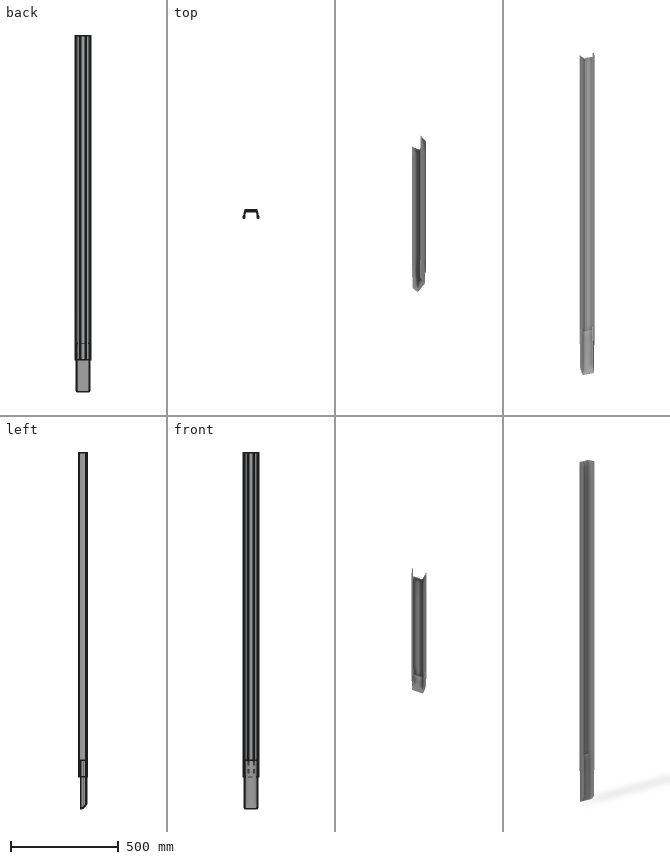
import cadquery as cq
import math

post_length = 1500.0
overall_width = 70.15
overall_depth = 38.75
sheet = 1.2

spike_overlap = 75.0
spike_exposed = 150.0
spike_web_y = 11.1
spike_crease_y = -2.0
spike_set_back = 1.1
nose_rise = 41.0

groove_depth = 1.4
groove_floor_half = 11.5
groove_mouth_half = 15.5

rim_width = 3.2
rim_corner_radius = 0.8
rim_height = 6.4

bend_outer_radius = 1.6
bend_inner_radius = bend_outer_radius - sheet

wall_radius = 250.0
wall_lean_at_rim = math.radians(8.0)

back_y = overall_depth / 2
front_y = -overall_depth / 2
rim_y = front_y + rim_height
spike_front_y = front_y + spike_set_back
contact_x = overall_width / 2 - rim_width
groove_y = back_y - groove_depth
wall_center_x = contact_x - wall_radius * math.cos(wall_lean_at_rim)
wall_center_y = rim_y - wall_radius * math.sin(wall_lean_at_rim)


def wall_point(shift, y):
    """Point at height y on the wall arc shifted along X from the contact face."""
    reach = math.sqrt(wall_radius**2 - (y - wall_center_y) ** 2)
    return (wall_center_x + reach + shift, y)


def follow_wall(outline, shift, y_start, y_end):
    """Continue an outline along a wall arc, from the current point at y_start to y_end."""
    middle = wall_point(shift, (y_start + y_end) / 2)
    return outline.threePointArc(middle, wall_point(shift, y_end))


def make_rim(fold, tip_y, z_start, length):
    """Free edge of a wall folded back on itself, outwards (fold = 1) or inwards (fold = -1)."""
    center_x = contact_x + fold * rim_width / 2
    gap_width = rim_width - 2 * sheet
    gap_floor_y = tip_y + sheet
    folded = (
        cq.Workplane("XY", origin=(center_x, (tip_y + rim_y) / 2, z_start))
        .rect(rim_width, rim_y - tip_y)
        .extrude(length)
        .edges("|Z and <Y")
        .fillet(rim_corner_radius)
    )
    gap = (
        cq.Workplane("XY", origin=(center_x, (gap_floor_y + rim_y) / 2, z_start))
        .rect(gap_width, rim_y - gap_floor_y)
        .extrude(length)
    )
    return folded.cut(gap)


def round_bend(half, outer_corner, inner_corner, z):
    """Round the outer and inner lengthwise edges of the bend between web and wall."""
    for corner, radius in ((outer_corner, bend_outer_radius), (inner_corner, bend_inner_radius)):
        nearest = cq.selectors.NearestToPointSelector((*corner, z))
        half = half.edges("|Z").edges(nearest).fillet(radius)
    return half


def mirrored(half):
    """Join a half channel with its mirror image across the YZ plane."""
    return half.union(half.mirror("YZ")).clean()


def make_post():
    outer_corner = wall_point(sheet, back_y)
    inner_corner = wall_point(0, back_y - sheet)
    outline = (
        cq.Workplane("XY")
        .moveTo(0, groove_y)
        .lineTo(groove_floor_half, groove_y)
        .lineTo(groove_mouth_half, back_y)
        .lineTo(*outer_corner)
    )
    outline = follow_wall(outline, sheet, back_y, rim_y)
    outline = outline.lineTo(contact_x, rim_y)
    outline = follow_wall(outline, 0, rim_y, back_y - sheet)
    half = (
        outline.lineTo(groove_mouth_half, back_y - sheet)
        .lineTo(groove_floor_half, groove_y - sheet)
        .lineTo(0, groove_y - sheet)
        .close()
        .extrude(post_length)
    )
    half = round_bend(half, outer_corner, inner_corner, post_length / 2)
    return mirrored(half.union(make_rim(1, front_y, 0, post_length)))


def make_nose_cutter():
    """Waste in front of an arc that leaves the rims lengthwise and curves in to the web's tip."""
    nose_depth = spike_web_y - front_y
    nose_radius = (nose_depth**2 + nose_rise**2) / (2 * nose_depth)
    half_angle = math.asin(nose_rise / nose_radius) / 2
    tip_z = -spike_exposed
    start_z = tip_z + nose_rise
    arc_middle = (
        front_y + nose_radius * (1 - math.cos(half_angle)),
        start_z - nose_radius * math.sin(half_angle),
    )
    return (
        cq.Workplane("YZ")
        .moveTo(front_y, start_z)
        .threePointArc(arc_middle, (spike_web_y, tip_z))
        .lineTo(front_y, tip_z)
        .close()
        .extrude(overall_width / 2, both=True)
    )


def make_spike():
    spike_length = spike_exposed + spike_overlap
    middle_z = spike_overlap - spike_length / 2
    outer_corner = wall_point(0, spike_web_y)
    inner_corner = wall_point(-sheet, spike_web_y - sheet)
    half = (
        cq.Workplane("XY", origin=(0, 0, -spike_exposed))
        .moveTo(0, spike_web_y - sheet)
        .lineTo(0, spike_web_y)
        .lineTo(*outer_corner)
        .lineTo(*wall_point(0, spike_crease_y))
        .lineTo(contact_x, rim_y)
        .lineTo(contact_x - sheet, rim_y)
        .lineTo(*wall_point(-sheet, spike_crease_y))
        .lineTo(*inner_corner)
        .close()
        .extrude(spike_length)
    )
    half = round_bend(half, outer_corner, inner_corner, middle_z)
    rim = make_rim(-1, spike_front_y, -spike_exposed, spike_length)
    return mirrored(half.union(rim)).cut(make_nose_cutter())


post = make_post()
spike = make_spike()

result = cq.Compound.makeCompound([post.solids().val(), spike.solids().val()])